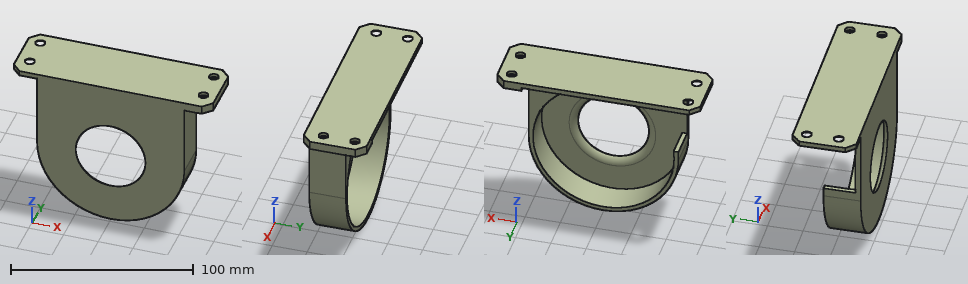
import cadquery as cq
import math

plate_length = 115.0
plate_depth = 36.0
plate_thickness = 3.0
thick_tab_thickness = 5.0
corner_chamfer = 5.0

screw_hole_diameter = 5.3
screw_spacing_x = 100.0
screw_spacing_y = 18.0
screw_back_margin = 7.5
screw_sink_depth = plate_thickness

total_height = 88.0
housing_width = 85.0
housing_depth = 21.0
front_wall = 3.0
cavity_diameter = 80.0
bore_diameter = 40.0
lip_radius = 5.0
opening_sill = 5.0

housing_radius = housing_width / 2
plate_top = total_height - housing_radius
plate_bottom = plate_top - plate_thickness
thick_tab_bottom = plate_top - thick_tab_thickness


def make_plate():
    """Plate with chamfered corners, thicker on the +X tab beyond the housing."""
    tab_length = plate_length / 2 - housing_radius
    tab = cq.Workplane("XY").box(tab_length, plate_depth, thick_tab_thickness, centered=False)
    return (
        cq.Workplane("XY", origin=(0, plate_depth / 2, plate_bottom))
        .rect(plate_length, plate_depth)
        .extrude(plate_thickness)
        .union(tab.translate((housing_radius, 0, thick_tab_bottom)))
        .edges("|Z and (<X or >X)")
        .chamfer(corner_chamfer)
    )


def make_housing_block():
    """U-shaped block with a round lower end."""
    return (
        cq.Workplane("XZ")
        .moveTo(-housing_radius, plate_top)
        .lineTo(-housing_radius, 0)
        .threePointArc((0, -housing_radius), (housing_radius, 0))
        .lineTo(housing_radius, plate_top)
        .close()
        .extrude(-housing_depth)
    )


def make_cavity():
    """Round cavity behind the front wall, open to the back."""
    return (
        cq.Workplane("XZ", origin=(0, front_wall, 0))
        .circle(cavity_diameter / 2)
        .extrude(front_wall - housing_depth)
    )


def make_bore():
    """Bore through the front wall, flaring along an arc that ends flush with the wall's inner face."""
    bore_radius = bore_diameter / 2
    start_angle = math.asin((lip_radius - front_wall) / lip_radius)
    middle_angle = (start_angle + math.pi / 2) / 2
    arc_center_x = bore_radius + lip_radius * math.cos(start_angle)
    arc_center_y = front_wall - lip_radius
    arc_middle = (
        arc_center_x - lip_radius * math.cos(middle_angle),
        arc_center_y + lip_radius * math.sin(middle_angle),
    )
    return (
        cq.Workplane("XY")
        .lineTo(bore_radius, 0)
        .threePointArc(arc_middle, (arc_center_x, front_wall))
        .lineTo(0, front_wall)
        .close()
        .revolve(360, (0, 0), (0, 1))
    )


def make_side_opening():
    """Space on the -X half of the housing, behind the front wall, from the sill up to the plate."""
    opening = cq.Workplane("XY").box(
        housing_radius,
        housing_depth - front_wall,
        plate_bottom - opening_sill,
        centered=False,
    )
    return opening.translate((-housing_radius, front_wall, opening_sill))


def make_screw_hole_pair(x, underside):
    """Two holes in a row along Y, countersunk from the given underside height."""
    back_y = plate_depth - screw_back_margin
    centers = [(x, back_y), (x, back_y - screw_spacing_y)]
    hole_radius = screw_hole_diameter / 2
    base = cq.Workplane("XY", origin=(0, 0, underside)).pushPoints(centers)
    shafts = base.circle(hole_radius).extrude(plate_top - underside)
    sinks = base.circle(hole_radius + screw_sink_depth).extrude(screw_sink_depth, taper=45)
    return shafts.union(sinks)


housing = (
    make_housing_block()
    .cut(make_cavity())
    .cut(make_bore())
    .cut(make_side_opening())
)

result = (
    make_plate()
    .union(housing)
    .cut(make_screw_hole_pair(-screw_spacing_x / 2, plate_bottom))
    .cut(make_screw_hole_pair(screw_spacing_x / 2, thick_tab_bottom))
)